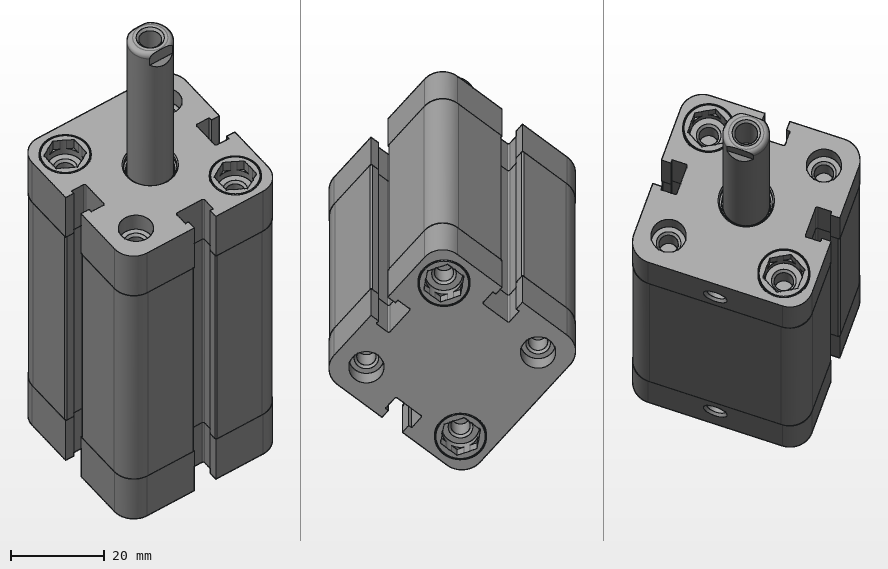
import cadquery as cq
import math

total_height = 125.0
body_width = 40.2
body_height = 84.2
cap_height = 12.8
cap_corner_radius = 5.0
tube_corner_radius = 5.2

slot_opening = 5.6
slot_inner_width = 7.2
slot_depth = 5.6
slot_lip = 2.1
slot_floor_fillet = 0.4
tube_slot_edge_chamfer = 0.4

corner_hole_pitch = 26.0
mount_bore_diameter = 7.5
mount_bore_depth = 4.5
thread_diameter = 4.1
thread_mouth_diameter = 5.2
thread_depth = 10.0
collar_seat_diameter = 11.1
collar_diameter = 10.9
collar_top_diameter = 10.5
collar_groove_depth = 0.6
hex_across_flats = 7.9
hex_depth = 2.8
socket_bore_diameter = 8.0
socket_bore_depth = 4.5

port_diameter = 4.1
port_mouth_diameter = 5.4
port_inset = 7.8
cap_core_diameter = 25.0

rod_diameter = 10.0
rod_tip_fillet = 1.2
rod_seat_mouth_diameter = 12.0
rod_seat_throat_diameter = 11.4
rod_seat_mouth_depth = 0.4
rod_seat_depth = 1.2
rod_lip_diameter = 10.5
rod_lip_depth = 2.5
wrench_flat_width = 8.0
wrench_flat_length = 3.2
rod_hole_diameter = 4.9
rod_hole_mouth_diameter = 6.0
rod_hole_depth = 12.5

drill_point_angle = 118.0

half_width = body_width / 2
corner_offset = corner_hole_pitch / 2
tube_height = body_height - 2 * cap_height
front_cap_base = body_height - cap_height


def cone_height(diameter):
    """Height of a drill point of the given diameter."""
    return diameter / 2 / math.tan(math.radians(drill_point_angle / 2))


def revolved(profile):
    """Solid of revolution about Z from (radius, height) points; the axis closes the profile."""
    return cq.Workplane("XZ").polyline(profile).close().revolve(360, (0, 0, 0), (0, 1, 0))


def slot_cutter(height):
    """T-slot open to +X, running along Z from the base, with rounded floor corners."""
    neck = cq.Workplane("XY").box(slot_depth, slot_opening, height, centered=(False, True, False))
    chamber_depth = slot_depth - slot_lip
    chamber = cq.Workplane("XY").box(chamber_depth, slot_inner_width, height, centered=(False, True, False))
    chamber = chamber.edges("|Z and <X").fillet(slot_floor_fillet)
    return chamber.union(neck).translate((half_width - slot_depth, 0, 0))


def slot_edge_cutter(height):
    """Wedge that chamfers both outer edges of the T-slot open to +X."""
    half_opening = slot_opening / 2
    wide = half_opening + tube_slot_edge_chamfer
    outline = [
        (half_width - tube_slot_edge_chamfer, half_opening),
        (half_width, wide),
        (half_width, -wide),
        (half_width - tube_slot_edge_chamfer, -half_opening),
    ]
    return cq.Workplane("XY").polyline(outline).close().extrude(height)


def cut_on_slotted_sides(block, cutter):
    """Cut a +X side feature into the -Y, +X and +Y sides."""
    for angle in (-90, 0, 90):
        block = block.cut(cutter.rotate((0, 0, 0), (0, 0, 1), angle))
    return block


def profile_block(height, corner_radius):
    """Rounded square block with T-slots in its +X, +Y and -Y sides."""
    block = cq.Workplane("XY").box(body_width, body_width, height, centered=(True, True, False))
    block = block.edges("|Z").fillet(corner_radius)
    return cut_on_slotted_sides(block, slot_cutter(height))


def threaded_hole(bore_depth):
    """Cutter for the blind thread under a corner bore, with its chamfered mouth."""
    mouth = thread_mouth_diameter / 2
    core = thread_diameter / 2
    chamfer = mouth - core
    return revolved([
        (0, -bore_depth),
        (mouth, -bore_depth),
        (core, -bore_depth - chamfer),
        (core, -thread_depth),
        (0, -thread_depth),
    ])


def mounting_hole():
    bore = cq.Workplane("XY").circle(mount_bore_diameter / 2).extrude(-mount_bore_depth)
    return bore.union(threaded_hole(mount_bore_depth))


def collar_screw_recess():
    """Cutter for the groove around a collar screw, its hex socket and its inner thread."""
    seat = collar_seat_diameter / 2
    collar = collar_diameter / 2
    top = collar_top_diameter / 2
    groove = revolved([
        (top, 0),
        (seat, 0),
        (seat, -collar_groove_depth),
        (collar, -collar_groove_depth),
        (collar, top - collar),
    ])
    hexagon = cq.Workplane("XY").polygon(6, hex_across_flats, circumscribed=True).extrude(-hex_depth)
    hexagon = hexagon.rotate((0, 0, 0), (0, 0, 1), 90)
    bore = cq.Workplane("XY").circle(socket_bore_diameter / 2).extrude(-socket_bore_depth)
    return groove.union(hexagon.union(bore).union(threaded_hole(socket_bore_depth)))


def port():
    """Cutter for an air port entering along +X and ending on the round core about the Z axis."""
    mouth = port_mouth_diameter / 2
    core = port_diameter / 2
    cutter = revolved([
        (0, 0),
        (mouth, 0),
        (core, core - mouth),
        (core, -half_width),
        (0, -half_width),
    ])
    cutter = cutter.rotate((0, 0, 0), (0, 1, 0), -90).translate((-half_width, 0, 0))
    cap_core = cq.Workplane("XY").circle(cap_core_diameter / 2).extrude(port_mouth_diameter, both=True)
    return cutter.cut(cap_core)


def cap():
    """End cap standing on its inner face, with its outer face on top."""
    block = profile_block(cap_height, cap_corner_radius)
    for side in (-1, 1):
        mount_place = (side * corner_offset, -side * corner_offset, cap_height)
        screw_place = (side * corner_offset, side * corner_offset, cap_height)
        block = block.cut(mounting_hole().translate(mount_place))
        block = block.cut(collar_screw_recess().translate(screw_place))
    return block.cut(port().translate((0, 0, cap_height - port_inset)))


def rod_seat():
    """Cutter for the rod passage and its flared mouth, with the outer cap face at Z = 0."""
    mouth = rod_seat_mouth_diameter / 2
    throat = rod_seat_throat_diameter / 2
    lip = rod_lip_diameter / 2
    return revolved([
        (0, 0),
        (mouth, 0),
        (throat, -rod_seat_mouth_depth),
        (throat, -rod_seat_depth),
        (lip, -rod_seat_depth),
        (lip, -rod_lip_depth),
        (rod_diameter / 2, -rod_lip_depth),
        (rod_diameter / 2, -cap_height),
        (0, -cap_height),
    ])


def make_tube():
    block = profile_block(tube_height, tube_corner_radius)
    return cut_on_slotted_sides(block, slot_edge_cutter(tube_height)).translate((0, 0, cap_height))


def make_rear_cap():
    return cap().mirror("XY").translate((0, 0, cap_height))


def make_front_cap():
    return cap().translate((0, 0, front_cap_base)).cut(rod_seat().translate((0, 0, body_height)))


def wrench_flat():
    """Cutter for the flat on the +X side of the rod tip, with a 45 degree run-out."""
    flat_x = wrench_flat_width / 2
    edge_x = rod_diameter / 2
    flat_end = total_height - wrench_flat_length
    outline = [
        (flat_x, total_height),
        (flat_x, flat_end),
        (edge_x, flat_end - (edge_x - flat_x)),
        (edge_x, total_height),
    ]
    return cq.Workplane("XZ").polyline(outline).close().extrude(edge_x, both=True)


def make_rod():
    rod = cq.Workplane("XY").circle(rod_diameter / 2).extrude(total_height - front_cap_base)
    rod = rod.faces(">Z").edges().fillet(rod_tip_fillet).translate((0, 0, front_cap_base))
    for angle in (0, 180):
        rod = rod.cut(wrench_flat().rotate((0, 0, 0), (0, 0, 1), angle))
    core = rod_hole_diameter / 2
    mouth = rod_hole_mouth_diameter / 2
    hole = revolved([
        (0, 0),
        (mouth, 0),
        (core, core - mouth),
        (core, -rod_hole_depth),
        (0, -rod_hole_depth - cone_height(rod_hole_diameter)),
    ])
    return rod.cut(hole.translate((0, 0, total_height)))


rear_cap = make_rear_cap()
tube = make_tube()
front_cap = make_front_cap()
rod = make_rod()

result = cq.Compound.makeCompound([rear_cap.val(), tube.val(), front_cap.val(), rod.val()])